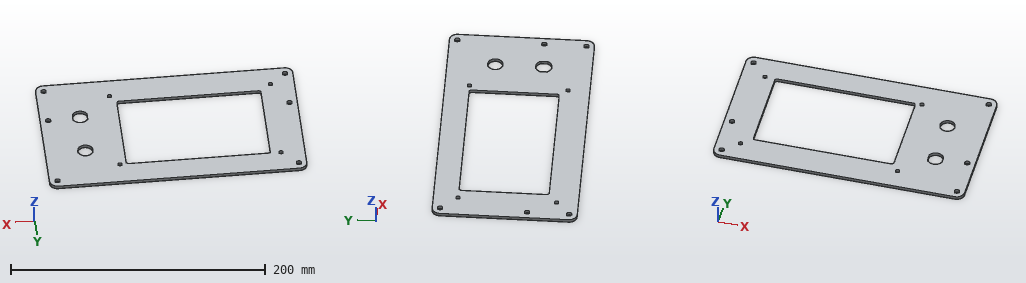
import cadquery as cq

plate_length = 203.2
plate_width = 114.2
plate_thickness = 2.8
corner_radius = 6.3

mount_hole_diameter = 4.0
mount_hole_inset = corner_radius
middle_mount_y = -17.7

window_length = 113.8
window_width = 71.0
window_center = (-17.5, 2.0)
window_corner_radius = 2.0
screw_hole_diameter = 3.3
screw_spacing_x = 127.2
screw_spacing_y = 77.6
screw_center = (-19.0, -1.2)

opening_x = 70.0
opening_offset_y = 19.0
round_opening_diameter = 12.0
double_d_diameter = 12.8
double_d_across_flats = 11.5


def through_holes(points, diameter):
    """Cylinders through the full plate thickness at the given points."""
    return cq.Workplane("XY").pushPoints(points).circle(diameter / 2).extrude(plate_thickness)


def make_plate():
    plate = cq.Workplane("XY").rect(plate_length, plate_width).extrude(plate_thickness)
    return plate.edges("|Z").fillet(corner_radius)


def make_window():
    window = cq.Workplane("XY").center(*window_center)
    window = window.rect(window_length, window_width).extrude(plate_thickness)
    return window.edges("|Z").fillet(window_corner_radius)


def make_double_d():
    barrel = through_holes([(opening_x, -opening_offset_y)], double_d_diameter)
    flats = (
        cq.Workplane("XY")
        .center(opening_x, -opening_offset_y)
        .rect(double_d_across_flats, double_d_diameter)
        .extrude(plate_thickness)
    )
    return barrel.intersect(flats)


mount_x = plate_length / 2 - mount_hole_inset
mount_y = plate_width / 2 - mount_hole_inset
mount_points = [(x, y) for x in (-mount_x, mount_x) for y in (-mount_y, middle_mount_y, mount_y)]

screw_points = [
    (screw_center[0] + side_x * screw_spacing_x / 2, screw_center[1] + side_y * screw_spacing_y / 2)
    for side_x in (-1, 1)
    for side_y in (-1, 1)
]

result = (
    make_plate()
    .cut(make_window())
    .cut(through_holes(mount_points, mount_hole_diameter))
    .cut(through_holes(screw_points, screw_hole_diameter))
    .cut(through_holes([(opening_x, opening_offset_y)], round_opening_diameter))
    .cut(make_double_d())
)